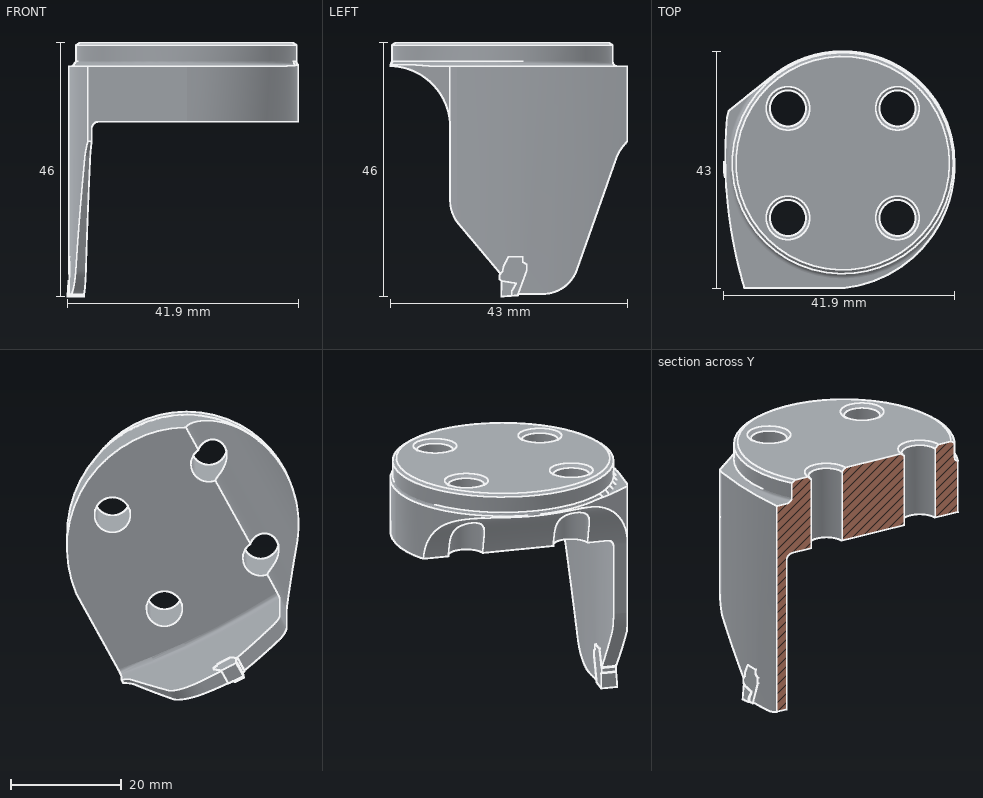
import cadquery as cq
import math


disc_height = 4.3
disc_radius = 40 / 2
disc_chamfer_height = 0.45
disc_chamfer_width = 0.7
root_fillet = 0.87

hole_diameter = 6.5
hole_chamfer = 0.7
hole_spacing = 19.83

body_radius = 20.3
front_y = -22.65
front_left_x = -17.8
front_right_x = 0.15
front_right_arc_point = (14.2, -15.65)
back_corner = (-20.65, 9.48)
side_back = (-20.98, 8.2)
side_middle = (-20.75, -8.3)

flange_bottom = -10.07
blade_bottom = -41.25
inner_front = (-16.4, -26.7)
inner_middle = (-18.45, -8.3)
inner_back_x = -18.05
inner_fillet = 1.2

back_scoop_radius = 10.95
back_bend_z = -26.7
bottom_back_y = -2.75
bottom_front_y = -11.95
front_bend = (-20.8, -16.25)
front_arc_middle = (-21.6, -14.8)
front_arc_top = -13.6
bend_radius = 6.65
margin = 4.6

insert_outer_x = -21.2
insert_inner_x = -18.45
tip_x = -21.55
tip_ramp_x = -21.35
tip_corner = (0.25, disc_height - 46)
tip_back = (0.15, -38.85)
tip_front_bottom = (-2.85, -41.5)
insert_outline = [
    (-1.1, -34.5), (-3.7, -34.5), (-3.7, -35.4), (-4.4, -35.9), (-4.4, -37.0), (-2.85, blade_bottom),
    tip_front_bottom, tip_corner, tip_back, (0.55, -38.55), (0.5, -37.7), (-0.05, -37.1), (-0.25, -36.2),
]
tip_outline = [tip_back, (-2.55, -39.3), (-1.75, -40.65), (-1.75, -41.55), tip_corner]


def plan_outline():
    """Plan of the body: curved left side, flat front, round right side and a tangent back flank."""
    corner_x, corner_y = back_corner
    tangent_angle = math.atan2(corner_y, corner_x) - math.acos(body_radius / math.hypot(corner_x, corner_y))
    tangent_point = (body_radius * math.cos(tangent_angle), body_radius * math.sin(tangent_angle))
    middle_angle = tangent_angle / 2
    arc_middle = (body_radius * math.cos(middle_angle), body_radius * math.sin(middle_angle))
    return (
        cq.Workplane("XY").moveTo(*back_corner).lineTo(*side_back)
        .threePointArc(side_middle, (front_left_x, front_y))
        .lineTo(front_right_x, front_y)
        .threePointArc(front_right_arc_point, (body_radius, 0))
        .threePointArc(arc_middle, tangent_point)
        .close()
    )


def space_under_flange():
    """Volume removed below the flange, bounded by the blade's curved inner face."""
    back_y = body_radius + margin
    right_x = body_radius + margin
    inner_front_y = inner_front[1]
    space = (
        cq.Workplane("XY").workplane(offset=flange_bottom)
        .moveTo(inner_back_x, back_corner[1])
        .threePointArc(inner_middle, inner_front)
        .lineTo(right_x, inner_front_y)
        .lineTo(right_x, back_y).lineTo(inner_back_x, back_y).close()
        .extrude(blade_bottom - margin - flange_bottom)
    )
    inner_edge = cq.selectors.NearestToPointSelector((*inner_middle, flange_bottom))
    return space.edges(inner_edge).fillet(inner_fillet)


def side_profile():
    """Side silhouette of flange and blade, swept across the full width."""
    blade_back_y = back_corner[1]
    scoop_y = blade_back_y + back_scoop_radius
    scoop_z = -back_scoop_radius
    diagonal = back_scoop_radius * math.sqrt(0.5)
    profile = (
        cq.Workplane("YZ").moveTo(scoop_y, 0)
        .threePointArc((scoop_y - diagonal, scoop_z + diagonal), (blade_back_y, scoop_z))
        .lineTo(blade_back_y, back_bend_z)
        .lineTo(bottom_back_y, blade_bottom).lineTo(bottom_front_y, blade_bottom)
        .lineTo(*front_bend)
        .threePointArc(front_arc_middle, (front_y, front_arc_top))
        .lineTo(front_y, 0).close()
        .extrude(body_radius + margin, both=True)
    )
    for bend in ((0, blade_back_y, back_bend_z), (0, bottom_front_y, blade_bottom)):
        profile = profile.edges(cq.selectors.NearestToPointSelector(bend)).fillet(bend_radius)
    return profile


def make_disc():
    """Disc with a chamfered rim and a concave fillet at its root."""
    fillet_center_r = disc_radius + root_fillet
    offset = root_fillet * math.sqrt(0.5)
    return (
        cq.Workplane("XZ").moveTo(0, 0).lineTo(fillet_center_r, 0)
        .threePointArc((fillet_center_r - offset, root_fillet - offset), (disc_radius, root_fillet))
        .lineTo(disc_radius, disc_height - disc_chamfer_height)
        .lineTo(disc_radius - disc_chamfer_width, disc_height)
        .lineTo(0, disc_height).close()
        .revolve(360, (0, 0, 0), (0, 1, 0))
    )


def hole_cutters():
    """Four through holes, each with a chamfered mouth in the top of the disc."""
    radius = hole_diameter / 2
    cutter = (
        cq.Workplane("XZ").moveTo(0, disc_height).lineTo(radius + hole_chamfer, disc_height)
        .lineTo(radius, disc_height - hole_chamfer)
        .lineTo(radius, flange_bottom - margin).lineTo(0, flange_bottom - margin).close()
        .revolve(360, (0, 0, 0), (0, 1, 0))
    )
    centers = cq.Workplane("XY").rect(hole_spacing, hole_spacing, forConstruction=True).vertices()
    return centers.eachpoint(lambda place: cutter.val().located(place))


def prism_along_x(outline, start_x, end_x):
    """Prism with a YZ outline between two X positions."""
    return cq.Workplane("YZ").workplane(offset=start_x).polyline(outline).close().extrude(end_x - start_x)


def make_holder():
    """Disc, flange and hanging blade, with a slot through the blade for the insert."""
    disc = make_disc().intersect(plan_outline().extrude(disc_height))
    body = plan_outline().extrude(blade_bottom).intersect(side_profile()).cut(space_under_flange())
    insert_slot = prism_along_x(insert_outline, insert_outer_x - margin, insert_inner_x + margin)
    return body.union(disc).cut(hole_cutters()).cut(insert_slot)


def make_insert():
    """Insert plate with a raised cutting tip whose face ramps outward."""
    plate = prism_along_x(insert_outline, insert_outer_x, insert_inner_x)
    tip = prism_along_x(tip_outline, tip_x, insert_inner_x)
    tip_top = tip_back[1]
    tip_bottom = tip_corner[1]
    ramp = (
        cq.Workplane("XZ")
        .polyline([
            (tip_ramp_x, tip_top), (tip_x, tip_bottom),
            (insert_inner_x, tip_bottom), (insert_inner_x, tip_top),
        ])
        .close().extrude(margin, both=True)
    )
    return plate.union(tip.intersect(ramp))


holder = make_holder()
insert = make_insert()
result = cq.Compound.makeCompound([holder.solids().val(), insert.solids().val()])